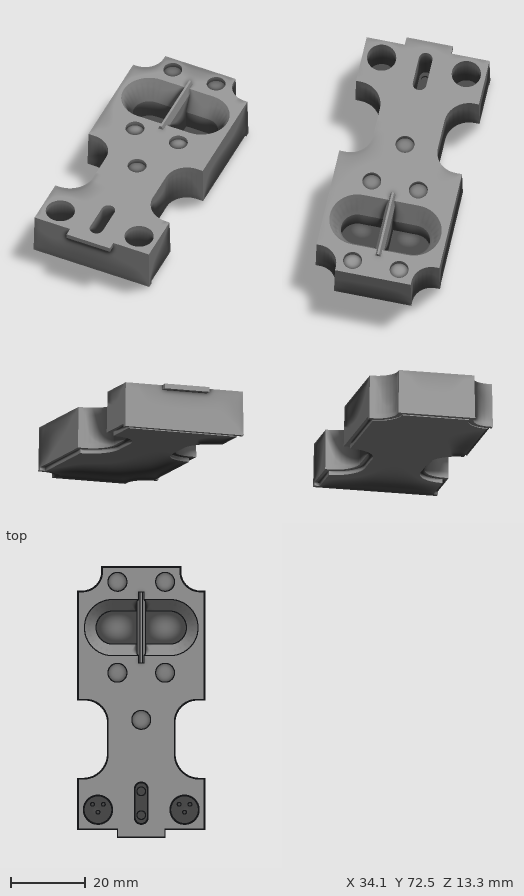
import cadquery as cq
import math

PLATE_THICKNESS = 1.1
HOUSING_BOTTOM = 0.2
HOUSING_TOP = 12.25
RIDGE_TOP = 13.3
MOULD_DRAFT = 1.0

REAR_FACE = 72.55
FRONT_FACE = 2.0
HALF_WIDTH = 17.05
NECK_HALF_WIDTH = 10.6
NECK_NOTCH_DEPTH = 6.5
NECK_RADIUS = 5.2
WAIST_HALF_WIDTH = 9.1
WAIST_REAR = 30.8
WAIST_FRONT = 22.35
WAIST_REAR_RADIUS = 5.95
WAIST_FRONT_RADIUS = 6.5

PLATE_INSET = 1.4
PLATE_HOLE_DEPTH = 0.7
PLATE_WAIST_REAR_RADIUS = 7.75

TAB_WIDTH = 12.8
TAB_THICKNESS = 1.3

POCKET_Y = 56.2
POCKET_END_SPACING = 15.4
POCKET_RIM_RADIUS = 7.55
POCKET_THROAT_RADIUS = 4.4
POCKET_SLOPE_DEPTH = 5.8
BRIDGE_LENGTH = 19.0
BRIDGE_WIDTH = 2.3
RIDGE_CREST_WIDTH = 0.6
RIDGE_HEIGHT = 2.0

RECESS_RADIUS = 2.55
RECESS_DEPTH = 1.45
RECESS_HALF_SPACING = 6.4
RECESS_REAR_Y = 68.5
RECESS_MIDDLE_Y = 44.1
RECESS_FRONT_Y = 31.5

WELL_RADIUS = 3.9
WELL_X = 11.6
WELL_Y = 7.4
TERMINAL_RADIUS = 0.5
TERMINAL_OFFSETS = [(-1.45, 1.45), (1.45, 1.45), (0.0, -0.65)]

SLOT_WIDTH = 3.7
SLOT_LENGTH = 11.3
SLOT_Y = 9.15
SOCKET_RADIUS = 1.15
SOCKET_SPACING = 6.4


def footprint(z, inset, waist_rear_radius):
    """Closed outline at height z, moved inward by inset from the housing edge."""
    half_width = HALF_WIDTH - inset
    neck = NECK_HALF_WIDTH - inset
    waist = WAIST_HALF_WIDTH - inset
    front = FRONT_FACE + inset
    rear = REAR_FACE - inset
    shoulder = REAR_FACE - NECK_NOTCH_DEPTH - inset
    neck_radius = NECK_RADIUS + inset
    front_radius = WAIST_FRONT_RADIUS + inset

    def arc_middle(center_x, center_y, radius, toward_y):
        reach = radius * math.sqrt(0.5)
        return center_x - reach, center_y + toward_y * reach

    neck_center = (neck + neck_radius, shoulder + neck_radius)
    rear_center = (waist + waist_rear_radius, WAIST_REAR)
    front_center = (waist + front_radius, WAIST_FRONT)

    right_side = (
        cq.Workplane("XY", origin=(0, 0, z))
        .moveTo(0, rear)
        .lineTo(neck, rear)
        .lineTo(neck, neck_center[1])
        .threePointArc(arc_middle(*neck_center, neck_radius, -1), (neck_center[0], shoulder))
        .lineTo(half_width, shoulder)
        .lineTo(half_width, WAIST_REAR + waist_rear_radius)
        .lineTo(rear_center[0], WAIST_REAR + waist_rear_radius)
        .threePointArc(arc_middle(*rear_center, waist_rear_radius, 1), (waist, WAIST_REAR))
        .lineTo(waist, WAIST_FRONT)
        .threePointArc(
            arc_middle(*front_center, front_radius, -1),
            (front_center[0], WAIST_FRONT - front_radius),
        )
        .lineTo(half_width, WAIST_FRONT - front_radius)
        .lineTo(half_width, front)
        .lineTo(0, front)
    )
    return right_side.mirrorY()


def plate_blank():
    """Base plate before its holes are made."""
    return footprint(0, PLATE_INSET, PLATE_WAIST_REAR_RADIUS).extrude(PLATE_THICKNESS)


def top_plane():
    """Workplane on the top face of the housing."""
    return cq.Workplane("XY", origin=(0, 0, HOUSING_TOP))


def housing_block():
    """Drafted block with the front tab, flush with the top face."""
    block = footprint(HOUSING_BOTTOM, 0, WAIST_REAR_RADIUS).extrude(
        HOUSING_TOP - HOUSING_BOTTOM, taper=MOULD_DRAFT
    )
    tab_length = 2 * FRONT_FACE
    tab = top_plane().center(0, tab_length / 2).rect(TAB_WIDTH, tab_length).extrude(-TAB_THICKNESS)
    return block.union(tab)


def plate_seat():
    """Seat for the plate, open to both sides between the shoulders and the front wall."""
    seat_front = FRONT_FACE + PLATE_INSET
    seat_rear = REAR_FACE - NECK_NOTCH_DEPTH - PLATE_INSET
    side_opening = (
        cq.Workplane("XY")
        .center(0, (seat_front + seat_rear) / 2)
        .rect(2 * HALF_WIDTH, seat_rear - seat_front)
        .extrude(PLATE_THICKNESS)
    )
    return side_opening.union(plate_blank())


def finger_pocket():
    """Obround opening, sloped from the rim to a throat that runs down to the plate."""
    slope_angle = math.degrees(
        math.atan2(POCKET_RIM_RADIUS - POCKET_THROAT_RADIUS, POCKET_SLOPE_DEPTH)
    )
    slope = (
        top_plane()
        .center(0, POCKET_Y)
        .slot2D(POCKET_END_SPACING + 2 * POCKET_RIM_RADIUS, 2 * POCKET_RIM_RADIUS)
        .extrude(-POCKET_SLOPE_DEPTH, taper=slope_angle)
    )
    throat = (
        cq.Workplane("XY", origin=(0, POCKET_Y, PLATE_THICKNESS))
        .slot2D(POCKET_END_SPACING + 2 * POCKET_THROAT_RADIUS, 2 * POCKET_THROAT_RADIUS)
        .extrude(HOUSING_TOP - POCKET_SLOPE_DEPTH - PLATE_THICKNESS)
    )
    return slope.union(throat)


def bridge(pocket):
    """Wall across the pocket, topped by a tapered ridge that overruns the rim."""
    ridge_base = RIDGE_TOP - RIDGE_HEIGHT
    wall = (
        cq.Workplane("XY", origin=(0, POCKET_Y, PLATE_THICKNESS))
        .rect(BRIDGE_WIDTH, BRIDGE_LENGTH)
        .extrude(ridge_base - PLATE_THICKNESS)
        .intersect(pocket)
    )
    ridge = (
        cq.Workplane("XZ", origin=(0, POCKET_Y + BRIDGE_LENGTH / 2, 0))
        .moveTo(-BRIDGE_WIDTH / 2, ridge_base)
        .lineTo(BRIDGE_WIDTH / 2, ridge_base)
        .lineTo(RIDGE_CREST_WIDTH / 2, RIDGE_TOP)
        .lineTo(-RIDGE_CREST_WIDTH / 2, RIDGE_TOP)
        .close()
        .extrude(BRIDGE_LENGTH)
    )
    return wall.union(ridge)


def shallow_recesses():
    """Two pairs of round recesses about the pocket and one on the waist."""
    places = [(0, RECESS_FRONT_Y)]
    for y in (RECESS_MIDDLE_Y, RECESS_REAR_Y):
        for side in (-1, 1):
            places.append((side * RECESS_HALF_SPACING, y))
    return top_plane().pushPoints(places).circle(RECESS_RADIUS).extrude(-RECESS_DEPTH)


def well_places():
    """Centres of the two adjuster wells."""
    return [(-WELL_X, WELL_Y), (WELL_X, WELL_Y)]


def access_openings():
    """Drafted adjuster wells and jumper slot, open down to the plate."""
    depth = HOUSING_TOP - PLATE_THICKNESS
    wells = (
        top_plane()
        .pushPoints(well_places())
        .circle(WELL_RADIUS)
        .extrude(-depth, taper=MOULD_DRAFT)
    )
    slot = (
        top_plane()
        .center(0, SLOT_Y)
        .slot2D(SLOT_LENGTH, SLOT_WIDTH, 90)
        .extrude(-depth, taper=MOULD_DRAFT)
    )
    return wells.union(slot)


def make_housing():
    """Housing cut out to take the plate, with every opening in its top face."""
    pocket = finger_pocket()
    return (
        housing_block()
        .cut(plate_seat())
        .cut(pocket)
        .union(bridge(pocket))
        .cut(shallow_recesses())
        .cut(access_openings())
    )


def make_plate():
    """Base plate with blind holes below the adjuster wells and the jumper slot."""
    terminals = [(x + dx, y + dy) for x, y in well_places() for dx, dy in TERMINAL_OFFSETS]
    sockets = [(0, SLOT_Y + side * SOCKET_SPACING / 2) for side in (-1, 1)]
    plate_top = cq.Workplane("XY", origin=(0, 0, PLATE_THICKNESS))
    terminal_holes = plate_top.pushPoints(terminals).circle(TERMINAL_RADIUS).extrude(-PLATE_HOLE_DEPTH)
    socket_holes = plate_top.pushPoints(sockets).circle(SOCKET_RADIUS).extrude(-PLATE_HOLE_DEPTH)
    return plate_blank().cut(terminal_holes).cut(socket_holes)


housing = make_housing()
plate = make_plate()

result = cq.Compound.makeCompound([*housing.vals(), *plate.vals()])